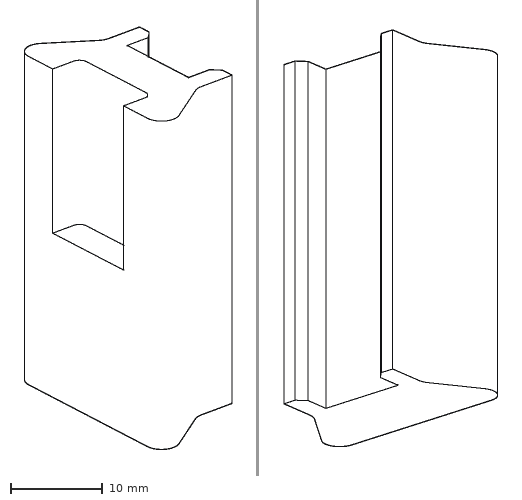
import cadquery as cq
import math

length = 40.0
width = 24.1
depth = 14.0

flank_angle = math.radians(33.5)
flank_radius = 2.0

rail_outer = 7.85
channel_half = 5.2
channel_depth = 4.0
rail_chamfer = 1.0

pocket_width = 12.0
pocket_depth = 4.0
pocket_length = length / 2
pocket_radius = 1.0

half_corner_angle = (math.pi / 2 - flank_angle) / 2
base_half = width / 2 - flank_radius + flank_radius / math.tan(half_corner_angle)
rail_root = (base_half - rail_outer) / math.tan(flank_angle)
channel_floor = depth - channel_depth


def make_body():
    """Extrude the symmetric profile along Z and round both ends of each flank."""
    right_half = [
        (base_half, 0),
        (rail_outer, rail_root),
        (rail_outer, depth),
        (channel_half + rail_chamfer, depth),
        (channel_half, depth - rail_chamfer),
        (channel_half, channel_floor),
    ]
    left_half = [(-x, y) for x, y in reversed(right_half)]
    body = cq.Workplane("XY").polyline(right_half + left_half).close().extrude(length)
    for side in (-1, 1):
        for x, y in ((base_half, 0), (rail_outer, rail_root)):
            corner = cq.selectors.NearestToPointSelector((side * x, y, length / 2))
            body = body.edges("|Z").edges(corner).fillet(flank_radius)
    return body


def make_pocket():
    """Solid to remove for the pocket, with its two inner corners rounded."""
    return (
        cq.Workplane("XY")
        .workplane(offset=length - pocket_length)
        .rect(pocket_width, 2 * pocket_depth)
        .extrude(pocket_length)
        .edges("|Z and >Y")
        .fillet(pocket_radius)
    )


result = make_body().cut(make_pocket())